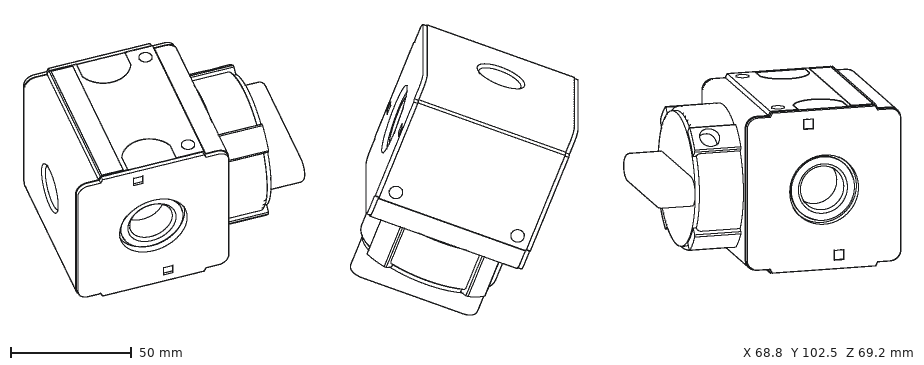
import cadquery as cq

body_width = 65.2
body_depth = 66.9
shoulder_height = 65.8
overall_height = 69.2
corner_radius = 4.9
pad_top_depth = 45.3
pad_base_depth = 46.9

overall_width = 68.8
plate_thickness = (overall_width - body_width) / 2
plate_inset = 0.4

port_diameter = 18.7
port_mouth_diameter = 21.1
port_chamfer = (port_mouth_diameter - port_diameter) / 2
port_depth = 11.9
plate_bore_diameter = 29.6
seat_diameter = 27.2
groove_depth = 1.4
key_size = 4.2
key_depth = 1.0
key_y = 6.6
key_z = 28.4

mount_hole_diameter = 5.5
mount_hole_x = 27.0
mount_hole_y = 17.7
recess_depth = 0.2
thumb_diameter = 23.0
thumb_center_x = 29.3
thumb_width = 21.2
label_width = 64.2
label_depth = 9.4
label_y = -17.1

bonnet_radius = 30.0
bonnet_end_y = 51.9
bonnet_fillet = 1.6
disc_radius = 28.2
disc_end_y = 53.7
disc_start_y = 41.0
disc_rim_fillet = 4.1

lug_count = 4
lug_spacing = 360 / lug_count
lug_width = 11.9
lug_radius = 32.1
lug_end_y = 53.3
lug_chamfer = 0.6
lug_hole_diameter = 8.5
lug_hole_y = 45.9

overall_length = 102.5
handle_end_y = overall_length - body_depth / 2
handle_thickness = 12.3
handle_fillet = 2.0

rear_y = body_depth / 2


def housing_prism(width, inset):
    """Rounded block with a raised pad above and below, all its sides moved in by inset."""
    block = (
        cq.Workplane("XY")
        .box(width, body_depth - 2 * inset, shoulder_height - 2 * inset)
        .edges("|X")
        .fillet(corner_radius - inset)
    )
    pad_base = pad_base_depth / 2 - inset
    pad_top = pad_top_depth / 2 - inset
    low = shoulder_height / 2 - inset
    high = overall_height / 2 - inset
    pads = (
        cq.Workplane("YZ")
        .polyline(
            [
                (-pad_base, -low),
                (-pad_top, -high),
                (pad_top, -high),
                (pad_base, -low),
                (pad_base, low),
                (pad_top, high),
                (-pad_top, high),
                (-pad_base, low),
            ]
        )
        .close()
        .extrude(width / 2, both=True)
    )
    return block.union(pads)


def housing():
    return housing_prism(body_width, 0).union(housing_prism(overall_width, plate_inset))


def blind_port():
    """Port cutter running along +Z from its mouth at the origin, with a countersunk mouth."""
    bore = cq.Workplane("XY").circle(port_diameter / 2).extrude(port_depth)
    mouth = cq.Workplane("XY").circle(port_mouth_diameter / 2).extrude(port_chamfer, taper=45)
    return bore.union(mouth)


def side_cutter():
    """Plate bore, port, sealing groove and key pockets of the -X side."""
    plate_face = cq.Workplane("YZ", origin=(-overall_width / 2, 0, 0))
    body_face = cq.Workplane("YZ", origin=(-body_width / 2, 0, 0))
    bore = plate_face.circle(plate_bore_diameter / 2).extrude(plate_thickness)
    port = blind_port().rotate((0, 0, 0), (0, 1, 0), 90).translate((-body_width / 2, 0, 0))
    groove = body_face.circle(plate_bore_diameter / 2).circle(seat_diameter / 2).extrude(groove_depth)
    key_places = [(key_y, key_z), (-key_y, -key_z)]
    keys = plate_face.pushPoints(key_places).rect(key_size, key_size).extrude(key_depth)
    return bore.union(port).union(groove).union(keys)


def front_port():
    return blind_port().rotate((0, 0, 0), (1, 0, 0), -90).translate((0, -rear_y, 0))


def mount_holes():
    return (
        cq.Workplane("XY", origin=(0, 0, -overall_height / 2))
        .pushPoints([(-mount_hole_x, mount_hole_y), (mount_hole_x, mount_hole_y)])
        .circle(mount_hole_diameter / 2)
        .extrude(overall_height)
    )


def top_recesses():
    """Two thumb recesses open to the sides, and a rectangular label recess."""
    floor = cq.Workplane("XY", origin=(0, 0, overall_height / 2 - recess_depth))
    thumbs = (
        floor.pushPoints([(-thumb_center_x, 0), (thumb_center_x, 0)])
        .circle(thumb_diameter / 2)
        .extrude(recess_depth)
        .intersect(cq.Workplane("XY").box(body_width, thumb_width, overall_height))
    )
    label = floor.center(0, label_y).rect(label_width, label_depth).extrude(recess_depth)
    return thumbs.union(label)


def rear_cylinder(radius, end_y, start_y=rear_y):
    return cq.Workplane("XZ", origin=(0, end_y, 0)).circle(radius).extrude(end_y - start_y)


def disc():
    """Disc sunk into the bonnet, with a rounded rim at its buried end."""
    return rear_cylinder(disc_radius, disc_end_y, disc_start_y).faces("<Y").edges().fillet(disc_rim_fillet)


def lug_hole():
    """Hole through the -X +Z lug, drilled past the rim of the disc."""
    return (
        cq.Workplane("XY", origin=(0, lug_hole_y, disc_radius - disc_rim_fillet))
        .circle(lug_hole_diameter / 2)
        .extrude(lug_radius)
        .rotate((0, 0, 0), (0, 1, 0), -lug_spacing / 2)
    )


def lug():
    """Lug pointing along +Z from the bonnet axis."""
    bar = (
        cq.Workplane("XZ", origin=(0, lug_end_y, 0))
        .center(0, lug_radius / 2)
        .rect(lug_width, lug_radius)
        .extrude(lug_end_y - rear_y)
    )
    rounded_bar = bar.intersect(rear_cylinder(lug_radius, lug_end_y))
    return rounded_bar.edges(">X or <X").edges(">Z").chamfer(lug_chamfer)


def bonnet():
    rear = rear_cylinder(bonnet_radius, bonnet_end_y).faces(">Y").edges().fillet(bonnet_fillet)
    for index in range(lug_count):
        angle = lug_spacing * (index + 0.5)
        rear = rear.union(lug().rotate((0, 0, 0), (0, 1, 0), angle))
    return rear.cut(lug_hole()).union(disc())


def handle():
    return (
        cq.Workplane("XZ", origin=(0, handle_end_y, 0))
        .slot2D(2 * disc_radius, handle_thickness)
        .extrude(handle_end_y - disc_end_y)
        .faces(">Y")
        .edges()
        .fillet(handle_fillet)
    )


side = side_cutter()
opposite_side = side.rotate((0, 0, 0), (0, 0, 1), 180)
result = housing().union(bonnet()).union(handle())
result = result.cut(side).cut(opposite_side).cut(front_port())
result = result.cut(mount_holes()).cut(top_recesses())